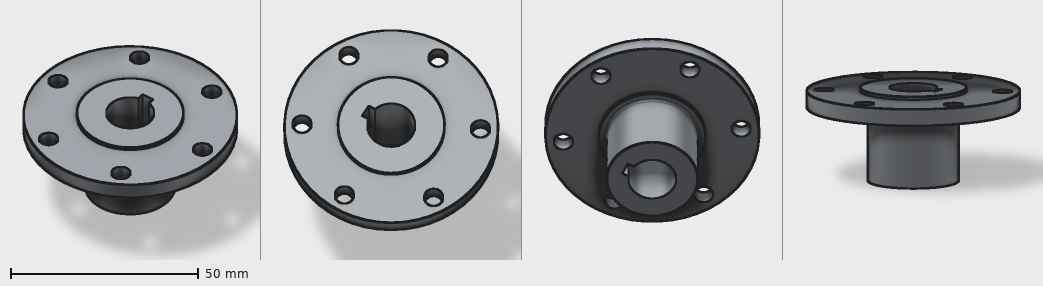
import cadquery as cq

flange_diameter = 57.15
flange_thickness = 4.6

collar_diameter = 28.6
upper_collar_height = 0.85
lower_collar_height = 0.9

hub_diameter = 24.35
total_height = 25.4
fillet_radius = 0.545

edge_chamfer = 0.14

bore_diameter = 12.75
keyway_width = 3.45
keyway_top = 8.05

bolt_hole_count = 6
bolt_circle_diameter = 47.65
bolt_hole_diameter = 5.1

top_z = flange_thickness + upper_collar_height
bottom_z = top_z - total_height


def disc(diameter, low_z, high_z):
    """Solid cylinder on the Z axis between two heights."""
    return cq.Workplane("XY").workplane(offset=low_z).circle(diameter / 2).extrude(high_z - low_z)


def make_root_fillet():
    """Concave ring blending the hub into the underside of the lower collar."""
    hub_radius = hub_diameter / 2
    outer_radius = hub_radius + fillet_radius
    root_z = -lower_collar_height
    return (
        cq.Workplane("XZ")
        .moveTo(hub_radius - fillet_radius, root_z)
        .lineTo(outer_radius, root_z)
        .radiusArc((hub_radius, root_z - fillet_radius), -fillet_radius)
        .lineTo(hub_radius - fillet_radius, root_z - fillet_radius)
        .close()
        .revolve(360, (0, 0, 0), (0, 1, 0))
    )


def make_body():
    flange = disc(flange_diameter, 0, flange_thickness).faces(">Z or <Z").chamfer(edge_chamfer)
    collars = disc(collar_diameter, -lower_collar_height, top_z).faces(">Z or <Z").chamfer(edge_chamfer)
    hub = disc(hub_diameter, bottom_z, 0).faces("<Z").chamfer(edge_chamfer)
    return flange.union(collars).union(hub).union(make_root_fillet())


def make_keyed_bore():
    keyway = (
        cq.Workplane("XY")
        .workplane(offset=bottom_z)
        .center(0, keyway_top / 2)
        .rect(keyway_width, keyway_top)
        .extrude(total_height)
    )
    return disc(bore_diameter, bottom_z, top_z).union(keyway)


def make_bolt_holes():
    return (
        cq.Workplane("XY")
        .polarArray(bolt_circle_diameter / 2, 0, 360, bolt_hole_count)
        .circle(bolt_hole_diameter / 2)
        .extrude(flange_thickness)
    )


result = make_body().cut(make_keyed_bore()).cut(make_bolt_holes())